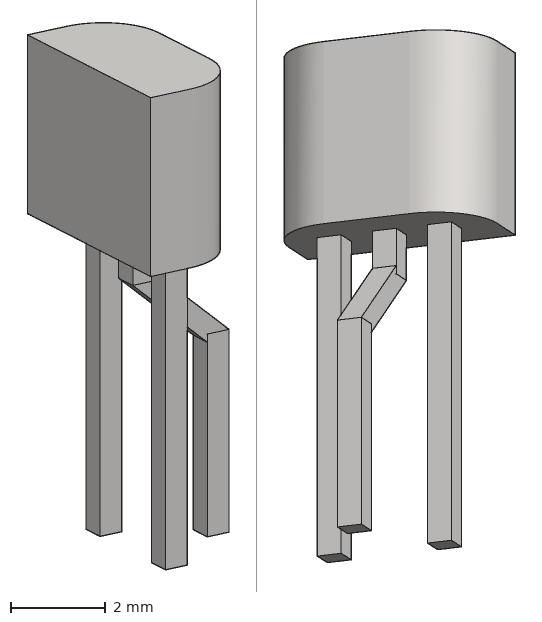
import cadquery as cq
import math

housing_width = 4.76
housing_depth = 2.4
overall_height = 11
lead_length = 7.0
housing_height = overall_height - lead_length
back_corner_radius = 1.4

lead_size = 0.55
lead_pitch = 1.26
lead_front = (housing_depth - lead_size) / 2
lead_back = lead_front + lead_size

overall_depth = 3.35
leg_back = overall_depth
leg_front = leg_back - lead_size
stub_bottom = -1.0
leg_top = -2.45
link_slope = math.tan(math.radians(41))


def make_housing():
    """Block with its two vertical back edges rounded."""
    block = cq.Workplane("XY").box(
        housing_width, housing_depth, housing_height, centered=(True, False, False)
    )
    return block.edges("|Z and >Y").fillet(back_corner_radius)


def make_lead(x_center, y_front, z_bottom, z_top):
    """Straight vertical square wire."""
    return (
        cq.Workplane("XY")
        .box(lead_size, lead_size, z_top - z_bottom, centered=(True, False, False))
        .translate((x_center, y_front, z_bottom))
    )


def make_link():
    """Sloped wire resting on the leg and fitting around the back lower corner of the stub."""
    underside_at_leg = stub_bottom - (leg_front - lead_front) * link_slope
    upper_side_at_stub = leg_top + (leg_back - lead_back) * link_slope
    profile = [
        (lead_front, stub_bottom),
        (leg_front, underside_at_leg),
        (leg_front, leg_top),
        (leg_back, leg_top),
        (lead_back, upper_side_at_stub),
        (lead_back, stub_bottom),
    ]
    return cq.Workplane("YZ").polyline(profile).close().extrude(lead_size / 2, both=True)


housing = make_housing()
outer_leads = [make_lead(side * lead_pitch, lead_front, -lead_length, 0) for side in (-1, 1)]
middle_stub = make_lead(0, lead_front, stub_bottom, 0)
middle_link = make_link()
middle_leg = make_lead(0, leg_front, -lead_length, leg_top)

result = cq.Compound.makeCompound([
    housing.val(),
    *[lead.val() for lead in outer_leads],
    middle_stub.val(),
    middle_link.val(),
    middle_leg.val(),
])